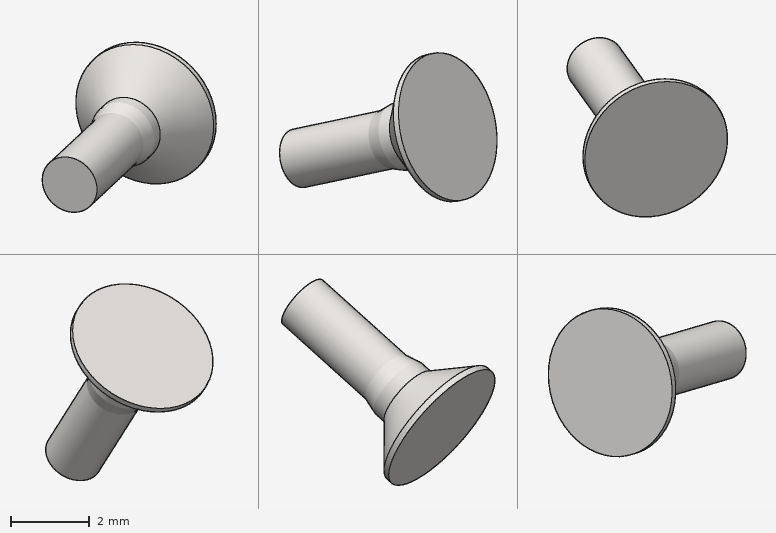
import cadquery as cq
import math

total_length = 5.0
head_diameter = 3.8
neck_diameter = 1.74
shank_diameter = 1.51
rim_thickness = 0.17
countersink_angle = 90.0
shank_start = 2.0
taper_length = 0.44

head_radius = head_diameter / 2
neck_radius = neck_diameter / 2
shank_radius = shank_diameter / 2

cone_length = (head_radius - neck_radius) / math.tan(math.radians(countersink_angle / 2))
head_height = rim_thickness + cone_length
taper_start = shank_start - taper_length


def screw_body():
    """Revolve the half profile (radius along X, depth along -Y) around the Y axis."""
    profile = (
        cq.Workplane("XY")
        .moveTo(0, 0)
        .lineTo(head_radius, 0)
        .lineTo(head_radius, -rim_thickness)
        .lineTo(neck_radius, -head_height)
        .lineTo(neck_radius, -taper_start)
        .lineTo(shank_radius, -shank_start)
        .lineTo(shank_radius, -total_length)
        .lineTo(0, -total_length)
        .close()
    )
    return profile.revolve(360, (0, 0, 0), (0, 1, 0))


result = screw_body()